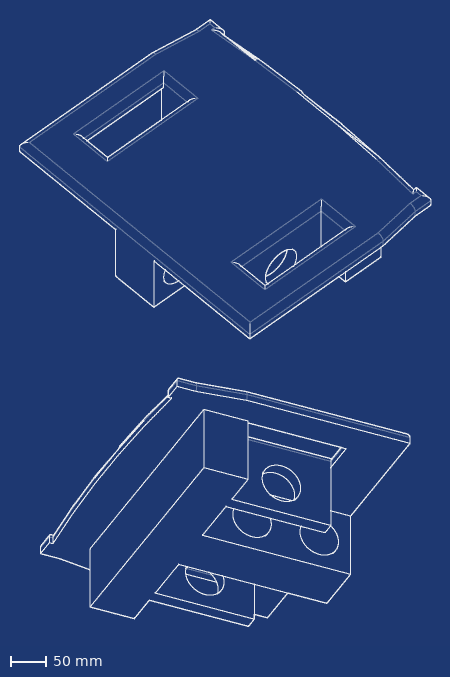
import cadquery as cq

total_height = 120
plate_thickness = 20
support_height = total_height - plate_thickness
edge_radius = 10

plate_width = 479.26
plate_depth = 362.29
middle_x = plate_width / 2
left_side_length = 254
right_side_length = 257
taper_end_y = 328
tab_inset = 10
tab_width = 30
tab_end_y = 358.5
arc_end_y = 353

opening_width = 50.5
opening_front_y = 76.5
opening_length = 154.5
opening_offset = 50.5
opening_back_y = opening_front_y + opening_length

back_block_start_x = 46
back_block_end_x = plate_width - opening_offset
back_block_end_y = 300
side_wall_thickness = 20
middle_block_width = 80

hole_diameter = 60
hole_centre_z = support_height / 2
front_hole_y = 49
back_hole_y = (opening_front_y + opening_back_y) / 2


def block(x_start, x_end, y_start, y_end, z_start, z_end):
    """Box given by its limits along each axis."""
    size = (x_end - x_start, y_end - y_start, z_end - z_start)
    return cq.Workplane("XY").box(*size, centered=False).translate((x_start, y_start, z_start))


def make_plate():
    """Tapered plate with a bowed back edge between two corner tabs."""
    left_outer_x = tab_inset
    left_inner_x = tab_inset + tab_width
    right_outer_x = plate_width - left_outer_x
    right_inner_x = plate_width - left_inner_x
    plate = (
        cq.Workplane("XY")
        .workplane(offset=support_height)
        .moveTo(0, 0)
        .lineTo(plate_width, 0)
        .lineTo(plate_width, right_side_length)
        .lineTo(right_outer_x, taper_end_y)
        .lineTo(right_outer_x, tab_end_y)
        .lineTo(right_inner_x, tab_end_y)
        .lineTo(right_inner_x, arc_end_y)
        .threePointArc((middle_x, plate_depth), (left_inner_x, arc_end_y))
        .lineTo(left_inner_x, tab_end_y)
        .lineTo(left_outer_x, tab_end_y)
        .lineTo(left_outer_x, taper_end_y)
        .lineTo(0, left_side_length)
        .close()
        .extrude(plate_thickness)
    )
    for left_x in (opening_offset, plate_width - opening_offset - opening_width):
        right_x = left_x + opening_width
        opening = block(left_x, right_x, opening_front_y, opening_back_y, support_height, total_height)
        plate = plate.cut(opening)
    return plate.faces(">Z").edges().fillet(edge_radius)


def cross_hole(centre_y, x_start, x_end):
    """Cylinder along X between two X limits."""
    return (
        cq.Workplane("YZ")
        .workplane(offset=x_start)
        .center(centre_y, hole_centre_z)
        .circle(hole_diameter / 2)
        .extrude(x_end - x_start)
    )


def make_supports():
    """Back block, middle block and two walls beside the openings, with cross holes."""
    back_block = block(
        back_block_start_x, back_block_end_x, opening_back_y, back_block_end_y, 0, support_height
    )
    middle_start_x = middle_x - middle_block_width / 2
    middle_end_x = middle_x + middle_block_width / 2
    middle_block = block(middle_start_x, middle_end_x, 0, opening_back_y, 0, support_height)
    middle_block = middle_block.cut(cross_hole(front_hole_y, middle_start_x, middle_end_x))
    supports = back_block.union(middle_block)

    left_wall_x = opening_offset + opening_width
    right_wall_x = plate_width - left_wall_x - side_wall_thickness
    for wall_x in (left_wall_x, right_wall_x):
        wall_end_x = wall_x + side_wall_thickness
        wall = block(wall_x, wall_end_x, opening_front_y, opening_back_y, 0, support_height)
        supports = supports.union(wall)
    return supports.cut(cross_hole(back_hole_y, 0, plate_width))


result = make_plate().union(make_supports())